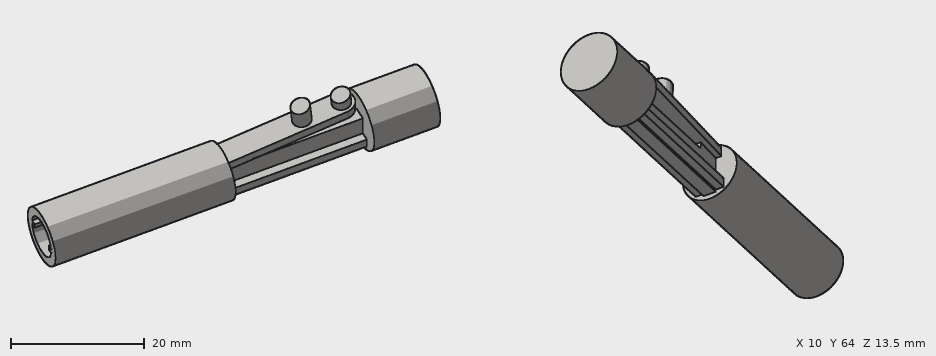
import cadquery as cq
import math


tube_length = 30.0
tube_diameter = 9.55
bore_diameter = 6.5
bore_depth = 25.6
key_gap = 4.75
key_height = 0.8

total_length = 64.0
collar_length = 11.0
collar_diameter = 10.0
collar_front = total_length - collar_length

spine_length = collar_front - tube_length
spine_width = 2.2
spine_top = 1.5
spine_bottom = -3.9
flange_width = 4.9
flange_top = -1.9
flange_bottom = -3.5

lever_angle = 5.0
lever_width = 4.15
lever_thickness = 1.55
lever_root_top = 3.8
lever_tip = 52.0
tip_radius = lever_width / 2
web_end = 34.3
slot_corner_radius = 0.4

pin_diameter = 3.0
pin_top_angle = 15.0
tip_pin_y = lever_tip - tip_radius
tip_pin_height = 1.8
pin_spacing = 6.6
inner_pin_y = tip_pin_y - pin_spacing
inner_pin_height = 3.2


def lever_top_at(y):
    return lever_root_top + (y - tube_length) * math.tan(math.radians(lever_angle))


def lever_bottom_at(y):
    return lever_top_at(y) - lever_thickness


def cylinder_along_y(diameter, start, length):
    plane = cq.Plane(origin=(0, start, 0), xDir=(1, 0, 0), normal=(0, 1, 0))
    return cq.Workplane(plane).circle(diameter / 2).extrude(length)


def bar_along_y(width, bottom, top, start, length):
    return (
        cq.Workplane("XY")
        .box(width, length, top - bottom, centered=(True, False, False))
        .translate((0, start, bottom))
    )


def side_profile(points, width):
    """Extrude a (Y, Z) outline symmetrically across X."""
    return cq.Workplane("YZ").polyline(points).close().extrude(width / 2, both=True)


def make_tube():
    bore = cylinder_along_y(bore_diameter, 0, bore_depth)
    key_stock = bar_along_y(bore_diameter, -key_height / 2, key_height / 2, 0, bore_depth)
    key_space = bar_along_y(key_gap, -key_height / 2, key_height / 2, 0, bore_depth)
    bore = bore.cut(key_stock.cut(key_space))
    return cylinder_along_y(tube_diameter, 0, tube_length).cut(bore)


def make_spine():
    spine = side_profile(
        [
            (tube_length, spine_bottom),
            (collar_front, spine_bottom),
            (collar_front, spine_top),
            (web_end, spine_top),
            (web_end, lever_bottom_at(web_end)),
            (tube_length, lever_bottom_at(tube_length)),
        ],
        spine_width,
    )
    slot_corner = cq.selectors.NearestToPointSelector((0, web_end, spine_top))
    spine = spine.edges("|X").edges(slot_corner).fillet(slot_corner_radius)
    flange = bar_along_y(flange_width, flange_bottom, flange_top, tube_length, spine_length)
    return spine.union(flange)


def make_lever():
    slab = side_profile(
        [
            (tube_length, lever_bottom_at(tube_length)),
            (lever_tip, lever_bottom_at(lever_tip)),
            (lever_tip, lever_top_at(lever_tip)),
            (tube_length, lever_top_at(tube_length)),
        ],
        lever_width,
    )
    plan = (
        cq.Workplane("XY")
        .moveTo(-tip_radius, tube_length)
        .lineTo(-tip_radius, tip_pin_y)
        .threePointArc((0, lever_tip), (tip_radius, tip_pin_y))
        .lineTo(tip_radius, tube_length)
        .close()
        .extrude(lever_top_at(lever_tip))
    )
    return slab.intersect(plan)


def make_pin(y, height):
    lean = math.radians(lever_angle)
    axis = cq.Vector(0, -math.sin(lean), math.cos(lean))
    base = cq.Vector(0, y, lever_top_at(y))
    top = base + axis * height
    sunk_base = base - axis * (lever_thickness / 2)
    shaft = (
        cq.Workplane(cq.Plane(origin=sunk_base, xDir=(1, 0, 0), normal=axis))
        .circle(pin_diameter / 2)
        .extrude(lever_thickness / 2 + height + pin_diameter)
    )
    slant = math.radians(pin_top_angle)
    top_normal = (0, -math.sin(slant), math.cos(slant))
    waste_size = 4 * pin_diameter
    waste = (
        cq.Workplane(cq.Plane(origin=top, xDir=(1, 0, 0), normal=top_normal))
        .rect(waste_size, waste_size)
        .extrude(waste_size)
    )
    return shaft.cut(waste)


result = (
    make_tube()
    .union(cylinder_along_y(collar_diameter, collar_front, collar_length))
    .union(make_spine())
    .union(make_lever())
    .union(make_pin(tip_pin_y, tip_pin_height))
    .union(make_pin(inner_pin_y, inner_pin_height))
)